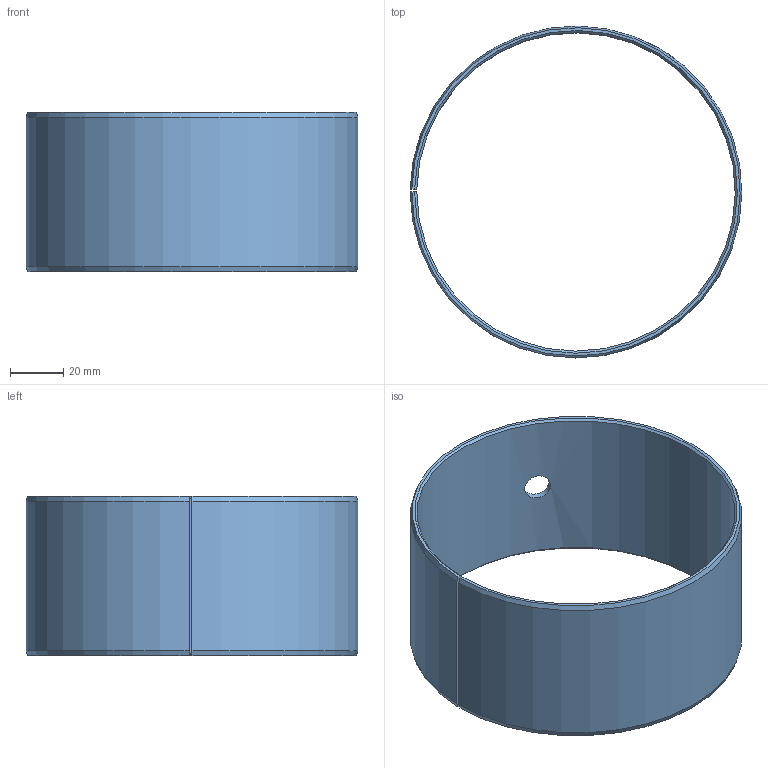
import cadquery as cq
import math

outer_diameter = 125.0
wall_thickness = 2.5
length = 60.0

outer_chamfer_length = 1.8
outer_chamfer_angle = 20.0
inner_chamfer = 0.8

split_gap_angle = 1.0
wall_start_angle = 180.0
wall_sweep_angle = 360.0 - split_gap_angle
wall_end_angle = wall_start_angle - split_gap_angle

oil_hole_diameter = 10.0
oil_hole_offset_angle = 120.0
oil_hole_angle = wall_end_angle - oil_hole_offset_angle

outer_radius = outer_diameter / 2
inner_radius = outer_radius - wall_thickness
half_length = length / 2
outer_chamfer_depth = outer_chamfer_length * math.tan(math.radians(outer_chamfer_angle))


def turn_about_axis(body, angle):
    """Rotate a body about the bush axis."""
    return body.rotate((0, 0, 0), (0, 0, 1), angle)


def make_split_sleeve():
    """Revolve the wall section, chamfered at all four corners, leaving the split open."""
    upper_corners = [
        (outer_radius, half_length - outer_chamfer_length),
        (outer_radius - outer_chamfer_depth, half_length),
        (inner_radius + inner_chamfer, half_length),
        (inner_radius, half_length - inner_chamfer),
    ]
    lower_corners = [(radius, -height) for radius, height in reversed(upper_corners)]
    section = cq.Workplane("XZ").polyline(upper_corners + lower_corners).close()
    sleeve = section.revolve(wall_sweep_angle, (0, 0), (0, 1))
    return turn_about_axis(sleeve, wall_start_angle)


def make_oil_hole_cutter():
    """Cylinder running radially outwards from the axis."""
    cylinder = cq.Workplane("YZ").circle(oil_hole_diameter / 2).extrude(outer_diameter)
    return turn_about_axis(cylinder, oil_hole_angle)


result = make_split_sleeve().cut(make_oil_hole_cutter())